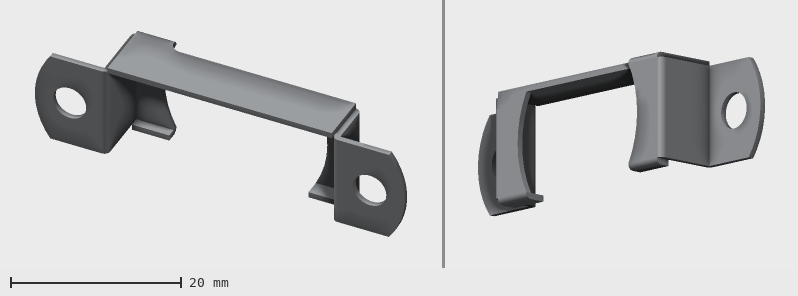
import cadquery as cq
import math

overall_height = 13.5
sheet_height = 12.0
thickness = (overall_height - sheet_height) / 2

overall_length = 48.0
inner_width = 29.15
left_depth = 8.5
right_depth = 6.5

ear_end_radius = 10.0
hole_spacing = 39.0
hole_diameter = 4.3

flange_length = 4.85
flange_notch_depth = 1.5
left_tab_length = 1.9
right_tab_length = 2.75

plate_corner_radius = 1.5

half_height = sheet_height / 2
half_inner = inner_width / 2
half_outer = half_inner + thickness
half_length = overall_length / 2
flange_end = half_inner - flange_length
bend_middle = thickness * math.sqrt(0.5)


def side_strip(depth):
    """Right-hand ear, side wall and back flange, bent from one vertical strip."""
    flange_front = depth - thickness
    return (
        cq.Workplane("XY", origin=(0, 0, -half_height))
        .moveTo(half_length, 0)
        .lineTo(half_outer, 0)
        .threePointArc((half_outer - bend_middle, thickness - bend_middle), (half_inner, thickness))
        .lineTo(half_inner, flange_front)
        .lineTo(flange_end, flange_front)
        .lineTo(flange_end, depth)
        .lineTo(half_inner, depth)
        .threePointArc((half_inner + bend_middle, flange_front + bend_middle), (half_outer, flange_front))
        .lineTo(half_outer, thickness)
        .lineTo(half_length, thickness)
        .close()
        .extrude(sheet_height)
    )


def ear_cutter():
    """Material beyond the rounded ear end, plus the screw hole."""
    sagitta = ear_end_radius - math.sqrt(ear_end_radius**2 - half_height**2)
    corner_x = half_length - sagitta
    beyond_end = (
        cq.Workplane("XZ")
        .moveTo(corner_x, -half_height)
        .threePointArc((half_length, 0), (corner_x, half_height))
        .lineTo(overall_length, half_height)
        .lineTo(overall_length, -half_height)
        .close()
        .extrude(-thickness)
    )
    hole = cq.Workplane("XZ").center(hole_spacing / 2, 0).circle(hole_diameter / 2).extrude(-thickness)
    return beyond_end.union(hole)


def flange_notch(depth):
    """Shallow arc cut into the free end of the back flange."""
    return (
        cq.Workplane("XZ", origin=(0, depth - thickness, 0))
        .moveTo(flange_end, -half_height)
        .threePointArc((flange_end + flange_notch_depth, 0), (flange_end, half_height))
        .close()
        .extrude(-thickness)
    )


def bottom_tab(depth, length):
    """Tab folded forward from the lower edge of the back flange."""
    bend_line = depth - thickness
    return (
        cq.Workplane("YZ", origin=(flange_end, 0, 0))
        .moveTo(depth, -half_height)
        .threePointArc((bend_line + bend_middle, -half_height - bend_middle),
                       (bend_line, -half_height - thickness))
        .lineTo(depth - length, -half_height - thickness)
        .lineTo(depth - length, -half_height)
        .close()
        .extrude(flange_length)
    )


def bracket_side(depth, tab_length):
    """Finished ear, wall, flange and tab on the +X side."""
    strip = side_strip(depth).cut(ear_cutter()).cut(flange_notch(depth))
    return strip.union(bottom_tab(depth, tab_length))


def top_plate():
    """Flat top resting on the right flange and bent down into the left flange."""
    bend_line = left_depth - thickness
    rise = bend_line - right_depth
    corner_run = math.sqrt(plate_corner_radius**2 - (plate_corner_radius - rise)**2)
    plate = (
        cq.Workplane("XY", origin=(0, 0, half_height))
        .moveTo(-half_inner, 0)
        .lineTo(half_inner, 0)
        .lineTo(half_inner, right_depth)
        .lineTo(corner_run - flange_end, right_depth)
        .radiusArc((-flange_end, bend_line), plate_corner_radius)
        .lineTo(-half_inner, bend_line)
        .close()
        .extrude(thickness)
    )
    bend = (
        cq.Workplane("YZ", origin=(-half_inner, 0, 0))
        .moveTo(bend_line, half_height)
        .lineTo(left_depth, half_height)
        .threePointArc((bend_line + bend_middle, half_height + bend_middle),
                       (bend_line, half_height + thickness))
        .close()
        .extrude(flange_length)
    )
    return plate.union(bend)


left_side = bracket_side(left_depth, left_tab_length).mirror("YZ")
right_side = bracket_side(right_depth, right_tab_length)
result = top_plate().union(left_side).union(right_side)